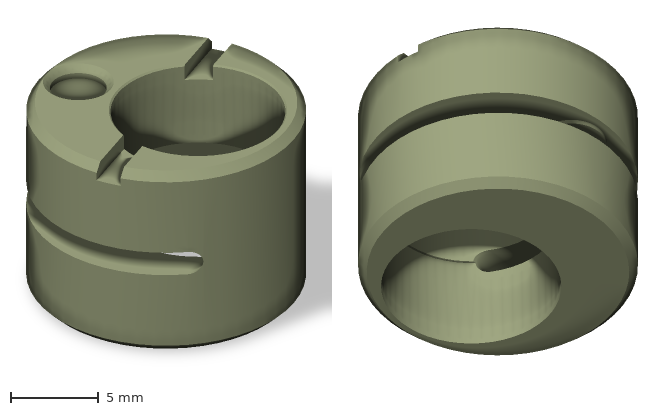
import cadquery as cq

body_diameter = 15.99
body_height = 11.9
edge_chamfer = 0.5
body_radius = body_diameter / 2
mid_height = body_height / 2

bore_offset = 2.0
upper_bore_diameter = 10.0
lower_bore_diameter = 10.3
bore_chamfer = 0.1

slit_width = 1.49
slit_end_x = 5.12
slit_top = mid_height + slit_width / 2

groove_width = slit_width
groove_depth = 0.99

screw_x = -5.5
pin_diameter = 2.4
collar_diameter = 4.0
collar_drop = 0.27
recess_diameter = 3.25
recess_depth = 0.75
recess_chamfer = 0.4


def cylinder(diameter, bottom, top, x=0.0):
    """Vertical cylinder between two heights, centred at (x, 0)."""
    return cq.Workplane("XY", origin=(x, 0, bottom)).circle(diameter / 2).extrude(top - bottom)


def top_countersink(diameter, chamfer, x):
    """45-degree cone that opens a hole of the given diameter at the top face."""
    radius = diameter / 2
    return cq.Workplane(
        cq.Solid.makeCone(
            radius, radius + chamfer, chamfer, pnt=cq.Vector(x, 0, body_height - chamfer)
        )
    )


def clamping_slit():
    """Horizontal slit through the full depth in Y."""
    end_radius = slit_width / 2
    arc_start_x = slit_end_x - end_radius
    return (
        cq.Workplane("XZ")
        .moveTo(-body_diameter, mid_height - end_radius)
        .lineTo(arc_start_x, mid_height - end_radius)
        .threePointArc((slit_end_x, mid_height), (arc_start_x, slit_top))
        .lineTo(-body_diameter, slit_top)
        .close()
        .extrude(body_radius, both=True)
    )


def driver_groove():
    """Straight groove along Y in the top face."""
    top_plane = cq.Workplane("XY", origin=(0, 0, body_height))
    return top_plane.rect(groove_width, body_diameter).extrude(-groove_depth)


body = cylinder(body_diameter, 0, body_height).faces("<Z or >Z").edges().chamfer(edge_chamfer)

body = body.cut(cylinder(upper_bore_diameter, 0, body_height, bore_offset))
body = body.cut(cylinder(lower_bore_diameter, 0, mid_height, bore_offset))
body = body.cut(top_countersink(upper_bore_diameter, bore_chamfer, bore_offset))

body = body.cut(clamping_slit())
body = body.cut(driver_groove())

body = body.union(cylinder(pin_diameter, slit_top - slit_width, slit_top, screw_x))
body = body.union(cylinder(collar_diameter, slit_top - collar_drop, slit_top, screw_x))

body = body.cut(cylinder(recess_diameter, body_height - recess_depth, body_height, screw_x))
body = body.cut(top_countersink(recess_diameter, recess_chamfer, screw_x))

result = body